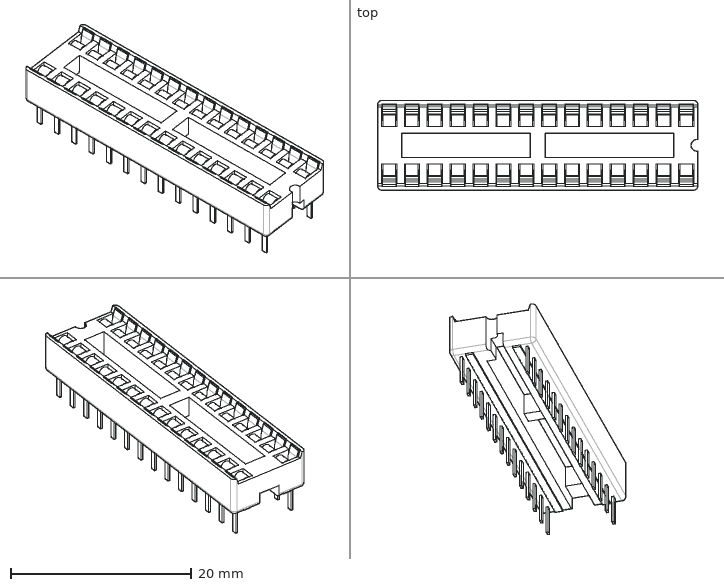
import cadquery as cq

LENGTH = 35.55
WIDTH = 10.0
HEIGHT = 4.85
EDGE_RADIUS = 0.5

RAIL_HEIGHT = 0.75
RAIL_TOP_WIDTH = 0.5
RAIL_FOOT_WIDTH = 0.75
SEAT_Z = HEIGHT - RAIL_HEIGHT

WINDOW_LENGTH = 14.25
WINDOW_WIDTH = 2.65
CENTRE_BAR = 1.67
CHANNEL_HEIGHT = 1.6
KEY_WIDTH = 1.05

NOTCH_RADIUS = 0.65
NOTCH_DEPTH = 0.75

STANDOFF_WIDTH = 0.9
STANDOFF_HEIGHT = 0.2
STANDOFF_Y = 2.75

PINS_PER_ROW = 14
FIRST_TO_LAST_PIN = 33.0
ROW_SPACING = 7.6
PIN_WIDTH = 0.6
PIN_THICKNESS = 0.25
PIN_LENGTH = 3.27
PIN_EMBED = 0.35
PIN_PITCH = FIRST_TO_LAST_PIN / (PINS_PER_ROW - 1)

POCKET_WIDTH = 1.7
POCKET_INNER_Y = 2.05
POCKET_OUTER_Y = WIDTH / 2 - RAIL_FOOT_WIDTH
POCKET_FLOOR_Z = SEAT_Z - 1.55

BOW_RADIUS = 0.65
BOW_WIDTH = 1.4
BOW_Y = 2.75
BOW_DROP = 0.07
BOW_CENTRE_Z = SEAT_Z - BOW_DROP - BOW_RADIUS

LEAF_WIDTH = 1.5
RAMP_TOP_Y = 3.45
RAMP_TOP_Z = BOW_CENTRE_Z - 0.15
TROUGH_INNER_Y = 3.75
TROUGH_OUTER_Y = 4.0
TROUGH_Z = SEAT_Z - 1.35
BEND_Y = 4.12
BEND_Z = SEAT_Z - 0.1
PLATE_TOP_Y = 4.37
PLATE_TOP_Z = HEIGHT - 0.1
PLATE_THICKNESS = 0.18
SLOT_WIDTH = 1.6


def block(x_size, y_size, z_bottom, z_top, x=0.0, y=0.0):
    """Box centred at (x, y) between two heights."""
    return cq.Workplane("XY", origin=(x, y, z_bottom)).box(
        x_size, y_size, z_top - z_bottom, centered=(True, True, False)
    )


def along_x(width):
    """YZ workplane from which a profile is extruded centred on X = 0."""
    return cq.Workplane("YZ", origin=(-width / 2, 0, 0))


def make_body():
    body = block(LENGTH, WIDTH, 0, HEIGHT)
    body = body.edges("|Z").fillet(EDGE_RADIUS)
    body = body.faces("<Z").edges().fillet(EDGE_RADIUS)
    foot_y = WIDTH / 2 - RAIL_FOOT_WIDTH
    top_y = WIDTH / 2 - RAIL_TOP_WIDTH
    seat_cut = (
        along_x(LENGTH)
        .polyline([(-foot_y, SEAT_Z), (foot_y, SEAT_Z), (top_y, HEIGHT), (-top_y, HEIGHT)])
        .close()
        .extrude(LENGTH)
    )
    return body.cut(seat_cut)


def cut_openings(body):
    """Windows, underside channel with its key, and the orientation notch."""
    window_x = (CENTRE_BAR + WINDOW_LENGTH) / 2
    for x in (-window_x, window_x):
        body = body.cut(block(WINDOW_LENGTH, WINDOW_WIDTH, 0, HEIGHT, x))

    end_wall = LENGTH / 2 - CENTRE_BAR / 2 - WINDOW_LENGTH
    open_length = LENGTH - end_wall
    body = body.cut(block(open_length, WINDOW_WIDTH, 0, CHANNEL_HEIGHT, -end_wall / 2))
    body = body.cut(block(LENGTH, WINDOW_WIDTH - KEY_WIDTH, 0, CHANNEL_HEIGHT, 0, KEY_WIDTH / 2))

    notch_x = LENGTH / 2 - NOTCH_DEPTH + NOTCH_RADIUS
    notch = cq.Workplane("XY").center(notch_x, 0).circle(NOTCH_RADIUS).extrude(HEIGHT)
    return body.cut(notch)


def make_pocket():
    """Pocket and rail slot to be removed at one station of the +Y row."""
    pocket_length = POCKET_OUTER_Y - POCKET_INNER_Y
    pocket_y = (POCKET_OUTER_Y + POCKET_INNER_Y) / 2
    pocket = block(POCKET_WIDTH, pocket_length, POCKET_FLOOR_Z, SEAT_Z, 0, pocket_y)

    plate_slope = (PLATE_TOP_Y - BEND_Y) / (PLATE_TOP_Z - BEND_Z)
    slot_foot_y = BEND_Y + PLATE_THICKNESS
    slot_top_y = slot_foot_y + plate_slope * (HEIGHT - BEND_Z)
    slot = (
        along_x(SLOT_WIDTH)
        .polyline(
            [
                (POCKET_OUTER_Y, BEND_Z),
                (slot_foot_y, BEND_Z),
                (slot_top_y, HEIGHT),
                (POCKET_OUTER_Y, HEIGHT),
            ]
        )
        .close()
        .extrude(SLOT_WIDTH)
    )
    return pocket.union(slot)


def make_contact():
    """Bow and leaf standing on the pocket floor at one station of the +Y row."""
    bow = (
        along_x(BOW_WIDTH)
        .moveTo(BOW_Y - BOW_RADIUS, POCKET_FLOOR_Z)
        .lineTo(BOW_Y - BOW_RADIUS, BOW_CENTRE_Z)
        .threePointArc((BOW_Y, BOW_CENTRE_Z + BOW_RADIUS), (BOW_Y + BOW_RADIUS, BOW_CENTRE_Z))
        .lineTo(BOW_Y + BOW_RADIUS, POCKET_FLOOR_Z)
        .close()
        .extrude(BOW_WIDTH)
    )
    leaf = (
        along_x(LEAF_WIDTH)
        .polyline(
            [
                (BOW_Y, POCKET_FLOOR_Z),
                (BOW_Y, RAMP_TOP_Z),
                (RAMP_TOP_Y, RAMP_TOP_Z),
                (TROUGH_INNER_Y, TROUGH_Z),
                (TROUGH_OUTER_Y, TROUGH_Z),
                (BEND_Y, BEND_Z),
                (PLATE_TOP_Y, PLATE_TOP_Z),
                (PLATE_TOP_Y + PLATE_THICKNESS, PLATE_TOP_Z),
                (BEND_Y + PLATE_THICKNESS, BEND_Z),
                (POCKET_OUTER_Y, BEND_Z),
                (POCKET_OUTER_Y, POCKET_FLOOR_Z),
            ]
        )
        .close()
        .extrude(LEAF_WIDTH)
    )
    return bow.union(leaf)


def make_pin():
    return block(PIN_WIDTH, PIN_THICKNESS, -PIN_LENGTH, PIN_EMBED, 0, ROW_SPACING / 2)


def both_rows(station):
    """Copies of a +Y station shape at every pin of both rows."""
    opposite = station.mirror("XZ")
    copies = []
    for index in range(PINS_PER_ROW):
        x = index * PIN_PITCH - FIRST_TO_LAST_PIN / 2
        for shape in (station, opposite):
            copies.append(shape.val().translate(cq.Vector(x, 0, 0)))
    return copies


def make_standoffs():
    strip_length = LENGTH - 2 * EDGE_RADIUS
    return [
        block(strip_length, STANDOFF_WIDTH, -STANDOFF_HEIGHT, 0, 0, y).val()
        for y in (-STANDOFF_Y, STANDOFF_Y)
    ]


socket = cut_openings(make_body()).val()
socket = socket.cut(*both_rows(make_pocket()))
socket = socket.fuse(*both_rows(make_contact()), *both_rows(make_pin()), *make_standoffs())
result = cq.Workplane("XY").newObject([socket.Solids()[0]])